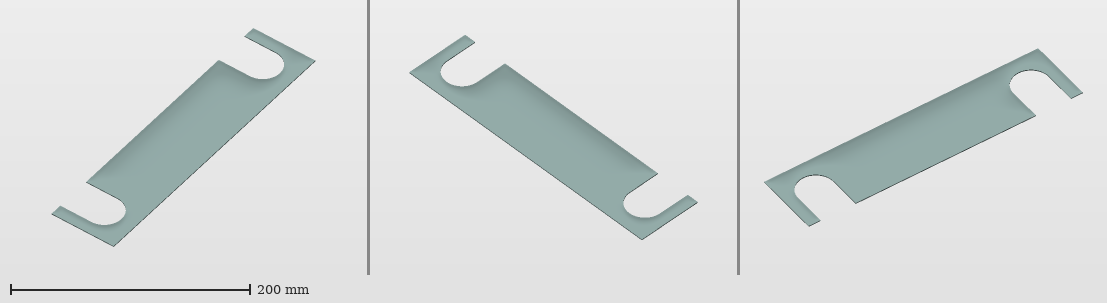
import cadquery as cq

plate_width = 65.0
plate_length = 280.0
plate_thickness = 1.0

slot_width = 36.0
slot_spacing = 220.0

slot_radius = slot_width / 2
open_edge_x = -plate_width / 2
slot_arc_x = 0.0


def make_plate():
    """Flat rectangular plate resting on Z = 0."""
    return cq.Workplane("XY").box(
        plate_width, plate_length, plate_thickness, centered=(True, True, False)
    )


def make_slot(center_y):
    """Cutter for one slot: straight sides closed by a half-round end."""
    return (
        cq.Workplane("XY")
        .moveTo(open_edge_x, center_y - slot_radius)
        .lineTo(slot_arc_x, center_y - slot_radius)
        .threePointArc(
            (slot_arc_x + slot_radius, center_y),
            (slot_arc_x, center_y + slot_radius),
        )
        .lineTo(open_edge_x, center_y + slot_radius)
        .close()
        .extrude(plate_thickness)
    )


result = make_plate()
for side in (-1, 1):
    result = result.cut(make_slot(side * slot_spacing / 2))